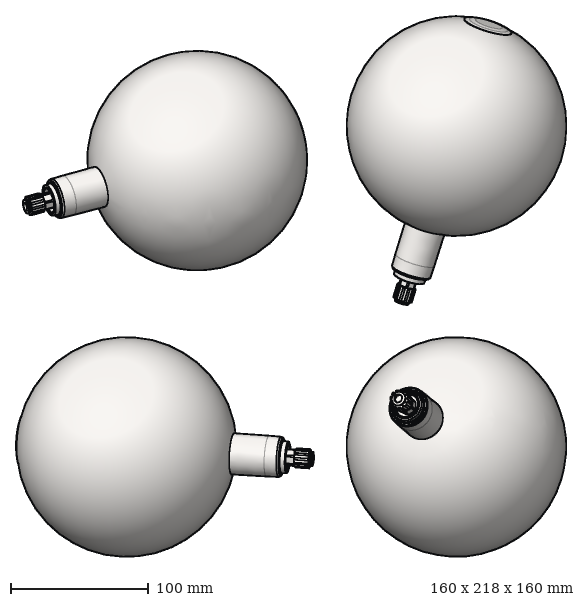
import cadquery as cq
import math


BALL_RADIUS = 80.0

PLUG_RADIUS = 18.0
PLUG_WALL_TOP = 78.2
PLUG_BEVEL_RADIUS = 14.4
PLUG_BEVEL_PLACE = 79.2
PLUG_FACE_RADIUS = 10.2

NECK_ROOT_RADIUS = 15.1
NECK_END_RADIUS = 14.95
NECK_END = 104.2
COLLAR_END_RADIUS = 14.75
COLLAR_CHAMFER_START = 113.3
COLLAR_FACE_PLACE = 114.7
COLLAR_FACE_RADIUS = 27.9 / 2

SLEEVE_FOOT_RADIUS = 12.6
SLEEVE_START = 115.4
SLEEVE_START_RADIUS = 11.85
SLEEVE_END_RADIUS = 11.6
SLEEVE_CHAMFER_START = 118.85
SLEEVE_END = 119.45
SLEEVE_FACE_RADIUS = 10.2
SLEEVE_BORE_RADIUS = 8.9
SLEEVE_BORE_CHAMFER = 0.7
SLEEVE_BORE_DEPTH = 5.0
SLEEVE_FLOOR = SLEEVE_END - SLEEVE_BORE_DEPTH

HEX_SIDES = 6
HEX_ACROSS_FLATS = 11.4
HEX_CORNER_RADIUS = 6.25

HEAD_RADIUS = 7.1
HEAD_START = 124.6
HEAD_CHAMFER = 0.9
HEAD_END = 135.3
HEAD_GROOVE_COUNT = 12
HEAD_GROOVE_RADIUS = 1.1
HEAD_GROOVE_CENTRE_RADIUS = 7.35

TIP_GROOVE_RADIUS = 8.72 / 2
TIP_RADIUS = 5.2
TIP_START = 136.3
TIP_RIM_PLACE = 137.55
TIP_END = 138.01
TIP_HOLE_RADIUS = 6.0 / 2
TIP_HOLE_DEPTH = 3.0


def sphere_place(radius):
    """Distance from the centre at which the ball has the given radius."""
    return math.sqrt(BALL_RADIUS**2 - radius**2)


def turned(outline):
    """Closed half outline in the XY plane, turned about the Y axis."""
    return outline.close().revolve(360, (0, 0, 0), (0, 1, 0))


def cross_section(place):
    """Plane across the axis, facing the tip, with its first direction along +X."""
    return cq.Workplane(cq.Plane(origin=(0, -place, 0), xDir=(1, 0, 0), normal=(0, -1, 0)))


def rod(radius, start, end):
    """Cylinder about the Y axis between two places on the tip side."""
    return cross_section(start).circle(radius).extrude(end - start)


def ball_and_collar():
    """Plug, ball, neck, collar and hollow sleeve."""
    outline = (
        cq.Workplane("XY")
        .moveTo(0, BALL_RADIUS)
        .lineTo(PLUG_FACE_RADIUS, BALL_RADIUS)
        .lineTo(PLUG_BEVEL_RADIUS, PLUG_BEVEL_PLACE)
        .lineTo(PLUG_RADIUS, PLUG_WALL_TOP)
        .lineTo(PLUG_RADIUS, sphere_place(PLUG_RADIUS))
        .threePointArc((BALL_RADIUS, 0), (NECK_ROOT_RADIUS, -sphere_place(NECK_ROOT_RADIUS)))
        .lineTo(NECK_END_RADIUS, -NECK_END)
        .lineTo(COLLAR_END_RADIUS, -COLLAR_CHAMFER_START)
        .lineTo(COLLAR_FACE_RADIUS, -COLLAR_FACE_PLACE)
        .lineTo(SLEEVE_FOOT_RADIUS, -COLLAR_FACE_PLACE)
        .lineTo(SLEEVE_START_RADIUS, -SLEEVE_START)
        .lineTo(SLEEVE_END_RADIUS, -SLEEVE_CHAMFER_START)
        .lineTo(SLEEVE_FACE_RADIUS, -SLEEVE_END)
        .lineTo(SLEEVE_BORE_RADIUS + SLEEVE_BORE_CHAMFER, -SLEEVE_END)
        .lineTo(SLEEVE_BORE_RADIUS, -(SLEEVE_END - SLEEVE_BORE_CHAMFER))
        .lineTo(SLEEVE_BORE_RADIUS, -SLEEVE_FLOOR)
        .lineTo(0, -SLEEVE_FLOOR)
    )
    return turned(outline)


def hexagon_shaft():
    """Hexagon with flats facing +X and -X, its corners turned to a cylinder."""
    length = HEAD_END - SLEEVE_FLOOR
    corner_diameter = HEX_ACROSS_FLATS / math.cos(math.pi / HEX_SIDES)
    hexagon = cross_section(SLEEVE_FLOOR).polygon(HEX_SIDES, corner_diameter).extrude(length)
    hexagon = hexagon.rotate((0, 0, 0), (0, 1, 0), 180 / HEX_SIDES)
    return hexagon.intersect(rod(HEX_CORNER_RADIUS, SLEEVE_FLOOR, HEAD_END))


def serrated_head():
    """Cylinder chamfered on its +Y end, with round grooves along its side."""
    head = rod(HEAD_RADIUS, HEAD_START, HEAD_END).faces(">Y").edges().chamfer(HEAD_CHAMFER)
    grooves = (
        cross_section(HEAD_START)
        .polarArray(HEAD_GROOVE_CENTRE_RADIUS, 0, 360, HEAD_GROOVE_COUNT)
        .circle(HEAD_GROOVE_RADIUS)
        .extrude(HEAD_END - HEAD_START)
    )
    return head.cut(grooves)


def tip():
    """Necked end with a coned end face and a blind centre hole."""
    outline = (
        cq.Workplane("XY")
        .moveTo(0, -HEAD_END)
        .lineTo(TIP_GROOVE_RADIUS, -HEAD_END)
        .lineTo(TIP_GROOVE_RADIUS, -TIP_START)
        .lineTo(TIP_RADIUS, -TIP_START)
        .lineTo(TIP_RADIUS, -TIP_RIM_PLACE)
        .lineTo(TIP_HOLE_RADIUS, -TIP_END)
        .lineTo(TIP_HOLE_RADIUS, -(TIP_END - TIP_HOLE_DEPTH))
        .lineTo(0, -(TIP_END - TIP_HOLE_DEPTH))
    )
    return turned(outline)


result = ball_and_collar().union(hexagon_shaft()).union(serrated_head()).union(tip())